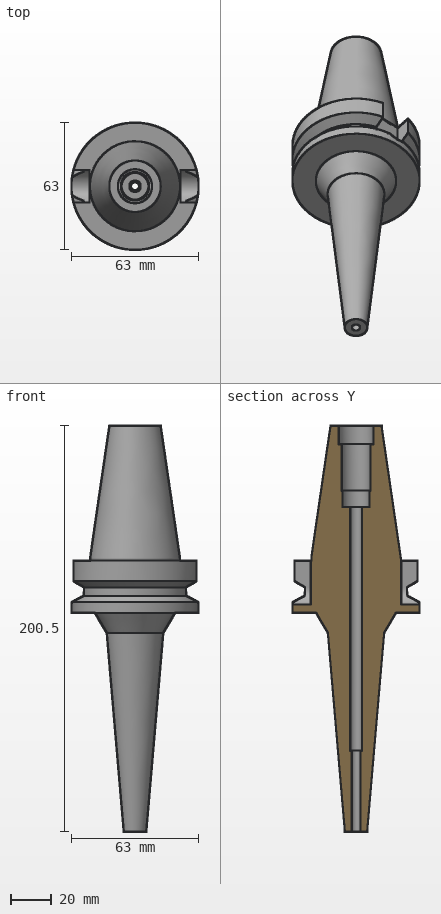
import cadquery as cq

total_length = 200.5
gauge_z = 135.0
flange_top_z = 133.9
flange_bottom_z = 108.0
neck_z = 98.2

taper_ratio = 7 / 24
gauge_radius = 22.2
taper_top_radius = gauge_radius - (total_length - gauge_z) * taper_ratio / 2
flange_radius = 31.5
neck_base_radius = 19.8
neck_radius = 14.0
tip_radius = 5.6

groove_radius = 26.5
groove_upper_rim_z = 123.6
groove_ceiling_z = 120.6
groove_floor_z = 116.5
groove_lower_rim_z = 113.5

slot_width = 16.0
slot_bottom_z = 112.2
slot_floor_x = 22.5

counterbore_radius = 8.5
counterbore_depth = 9.0
thread_bore_radius = 7.0
thread_bore_depth = 32.0
pilot_bore_radius = 6.6
pilot_bore_depth = 40.0
coolant_radius = 2.8
coolant_depth = 160.3
tip_bore_radius = 2.0


def holder_body():
    """Taper, flange, neck and slender nose as one revolved profile."""
    profile = [
        (0, 0),
        (tip_radius, 0),
        (neck_radius, neck_z),
        (neck_base_radius, flange_bottom_z),
        (flange_radius, flange_bottom_z),
        (flange_radius, groove_lower_rim_z),
        (groove_radius, groove_floor_z),
        (groove_radius, groove_ceiling_z),
        (flange_radius, groove_upper_rim_z),
        (flange_radius, flange_top_z),
        (gauge_radius, flange_top_z),
        (gauge_radius, gauge_z),
        (taper_top_radius, total_length),
        (0, total_length),
    ]
    return cq.Workplane("XZ").polyline(profile).close().revolve(360, (0, 0, 0), (0, 1, 0))


def drive_slot(side):
    """Cutter for one slot with a round lower end; side is +1 or -1 along X."""
    half_width = slot_width / 2
    arc_center_z = slot_bottom_z + half_width
    return (
        cq.Workplane("YZ", origin=(side * slot_floor_x, 0, 0))
        .moveTo(-half_width, flange_top_z)
        .lineTo(-half_width, arc_center_z)
        .threePointArc((0, slot_bottom_z), (half_width, arc_center_z))
        .lineTo(half_width, flange_top_z)
        .close()
        .extrude(side * flange_radius)
    )


def bore_step(radius, depth):
    """Cylindrical cutter going down from the small end of the taper."""
    return cq.Workplane("XY").workplane(offset=total_length).circle(radius).extrude(-depth)


result = holder_body()
for side in (1, -1):
    result = result.cut(drive_slot(side))

bore_steps = [
    (counterbore_radius, counterbore_depth),
    (thread_bore_radius, thread_bore_depth),
    (pilot_bore_radius, pilot_bore_depth),
    (coolant_radius, coolant_depth),
    (tip_bore_radius, total_length),
]
for radius, depth in bore_steps:
    result = result.cut(bore_step(radius, depth))